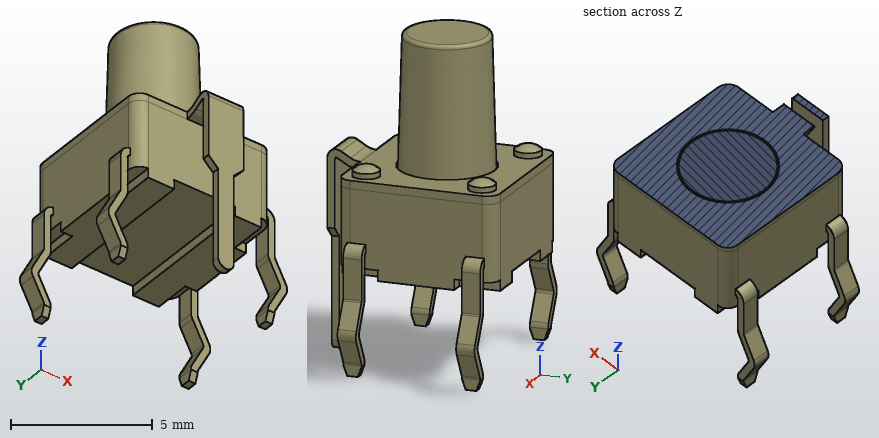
import cadquery as cq
import math


case_width = 6.0
case_height = 3.6
corner_radius = 0.5
cover_thickness = 0.3
button_hole_diameter = 3.6

underside_depth = 0.4
channel_width = 2.7
corner_notch_width = corner_radius
foot_width = 2.9

rivet_pitch = 4.4
rivet_diameter = 1.0
rivet_rim_height = 0.2
rivet_height = 0.4

button_top = 8.5
button_top_radius = 1.6
button_cover_radius = 1.74
button_edge_radius = 0.15

sheet_thickness = 0.3
root_length = 0.4

terminal_width = 0.7
terminal_pitch = 4.5
terminal_tip_width = 0.4
terminal_taper_length = 0.4
terminal_bottom = -3.5
terminal_root_top = 1.3
terminal_bend_radius = 0.15
terminal_outer_x = 3.4
terminal_kink_x = 3.95
terminal_kink_z = -1.855
terminal_kink_angle = math.radians(27.5)

ground_wide_width = 1.55
ground_narrow_width = 0.7
ground_outer_y = -4.25
ground_bottom = -3.6
ground_shoulder_top = 1.02
ground_shoulder_bottom = 0.6
ground_crest_radius = 0.35
ground_rise_angle = math.radians(30)


def strip_path(points, bend_radius):
    """Straight runs through the (across, z) points, with each inner corner rounded by a tangent arc."""
    path = cq.Workplane("XZ").moveTo(*points[0])
    for before, corner, after in zip(points, points[1:], points[2:]):
        inward = (cq.Vector(*before) - cq.Vector(*corner)).normalized()
        onward = (cq.Vector(*after) - cq.Vector(*corner)).normalized()
        half_angle = inward.getAngle(onward) / 2
        tangent_length = bend_radius / math.tan(half_angle)
        corner_gap = bend_radius / math.sin(half_angle) - bend_radius
        arc_start = cq.Vector(*corner) + inward * tangent_length
        arc_middle = cq.Vector(*corner) + (inward + onward).normalized() * corner_gap
        arc_end = cq.Vector(*corner) + onward * tangent_length
        path = path.lineTo(arc_start.x, arc_start.y)
        path = path.threePointArc((arc_middle.x, arc_middle.y), (arc_end.x, arc_end.y))
    return path.lineTo(*points[-1])


def make_housing():
    housing = (
        cq.Workplane("XY")
        .rect(case_width, case_width)
        .extrude(case_height - cover_thickness)
        .edges("|Z")
        .fillet(corner_radius)
    )
    channel = cq.Workplane("XY").rect(channel_width, case_width).extrude(underside_depth)
    housing = housing.cut(channel)

    notch_length = (case_width - foot_width) / 2
    notch_x = (case_width - corner_notch_width) / 2
    notch_y = (case_width - notch_length) / 2
    notches = (
        cq.Workplane("XY")
        .rect(2 * notch_x, 2 * notch_y, forConstruction=True)
        .vertices()
        .rect(corner_notch_width, notch_length)
        .extrude(underside_depth)
    )
    return housing.cut(notches)


def make_cover():
    return (
        cq.Workplane("XY", origin=(0, 0, case_height - cover_thickness))
        .rect(case_width, case_width)
        .extrude(cover_thickness)
        .edges("|Z")
        .fillet(corner_radius)
        .faces(">Z")
        .workplane()
        .hole(button_hole_diameter, cover_thickness)
    )


def make_rivet(x, y):
    rivet_radius = rivet_diameter / 2
    dome_height = rivet_height - rivet_rim_height
    dome_radius = (rivet_radius**2 + dome_height**2) / (2 * dome_height)
    middle_radius = rivet_radius / 2
    middle_height = rivet_height - dome_radius + math.sqrt(dome_radius**2 - middle_radius**2)
    return (
        cq.Workplane("XZ")
        .lineTo(rivet_radius, 0)
        .lineTo(rivet_radius, rivet_rim_height)
        .threePointArc((middle_radius, middle_height), (0, rivet_height))
        .close()
        .revolve(360, (0, 0), (0, 1))
        .translate((x, y, case_height))
    )


def make_terminal(y):
    """Terminal on the +X side: out of the case, down, and out and back in at the kink."""
    half_sheet = sheet_thickness / 2
    middle_bend_radius = terminal_bend_radius + half_sheet
    outer_bend_radius = terminal_bend_radius + sheet_thickness
    leg_x = terminal_outer_x - half_sheet
    root_z = terminal_root_top - half_sheet

    kink_x = terminal_kink_x - outer_bend_radius + middle_bend_radius / math.cos(terminal_kink_angle)
    kink_half_height = (kink_x - leg_x) / math.tan(terminal_kink_angle)
    root_x = case_width / 2 - root_length
    path = strip_path(
        [
            (root_x, root_z),
            (leg_x, root_z),
            (leg_x, terminal_kink_z + kink_half_height),
            (kink_x, terminal_kink_z),
            (leg_x, terminal_kink_z - kink_half_height),
            (leg_x, terminal_bottom),
        ],
        middle_bend_radius,
    )
    strip = (
        cq.Workplane("YZ", origin=(root_x, 0, root_z))
        .rect(terminal_width, sheet_thickness)
        .sweep(path)
    )
    taper_outline = (
        cq.Workplane("YZ")
        .moveTo(terminal_tip_width / 2, terminal_bottom)
        .lineTo(terminal_width / 2, terminal_bottom + terminal_taper_length)
        .lineTo(terminal_width / 2, terminal_root_top)
        .lineTo(-terminal_width / 2, terminal_root_top)
        .lineTo(-terminal_width / 2, terminal_bottom + terminal_taper_length)
        .lineTo(-terminal_tip_width / 2, terminal_bottom)
        .close()
        .extrude(terminal_kink_x)
    )
    return strip.intersect(taper_outline).translate((0, y, 0))


def make_ground_leg():
    """Leg that rises from the cover edge in an S, bends over a crest and runs straight down."""
    edge_y = -case_width / 2
    crest_y = ground_outer_y + ground_crest_radius
    crest_z = case_height
    sin_rise = math.sin(ground_rise_angle)

    foot_radius = ((edge_y - crest_y) * sin_rise - ground_crest_radius) / (1 - math.cos(ground_rise_angle))
    foot_z = case_height + foot_radius
    half_rise = ground_rise_angle / 2

    def on_foot(angle, depth):
        radius = foot_radius + depth
        return (edge_y - radius * math.sin(angle), foot_z - radius * math.cos(angle))

    def on_crest(angle, depth):
        radius = ground_crest_radius - depth
        return (crest_y + radius * math.cos(angle), crest_z + radius * math.sin(angle))

    rise_end = math.pi / 2 - ground_rise_angle
    crest_middle = (rise_end + math.pi) / 2
    depth = sheet_thickness
    inner_y = ground_outer_y + sheet_thickness
    strip = (
        cq.Workplane("YZ")
        .moveTo(*on_foot(0, 0))
        .threePointArc(on_foot(half_rise, 0), on_foot(ground_rise_angle, 0))
        .lineTo(*on_crest(rise_end, 0))
        .threePointArc(on_crest(crest_middle, 0), on_crest(math.pi, 0))
        .lineTo(ground_outer_y, ground_bottom)
        .lineTo(inner_y, ground_bottom)
        .lineTo(*on_crest(math.pi, depth))
        .threePointArc(on_crest(crest_middle, depth), on_crest(rise_end, depth))
        .lineTo(*on_foot(ground_rise_angle, depth))
        .threePointArc(on_foot(half_rise, depth), on_foot(0, depth))
        .close()
        .extrude(ground_wide_width / 2, both=True)
    )

    half_wide = ground_wide_width / 2
    half_narrow = ground_narrow_width / 2
    tip_start = ground_bottom + half_narrow
    crest_top = crest_z + ground_crest_radius
    front_outline = (
        cq.Workplane("XZ")
        .moveTo(-half_wide, crest_top)
        .lineTo(-half_wide, ground_shoulder_top)
        .lineTo(-half_narrow, ground_shoulder_bottom)
        .lineTo(-half_narrow, tip_start)
        .threePointArc((0, ground_bottom), (half_narrow, tip_start))
        .lineTo(half_narrow, ground_shoulder_bottom)
        .lineTo(half_wide, ground_shoulder_top)
        .lineTo(half_wide, crest_top)
        .close()
        .extrude(-ground_outer_y)
    )
    return strip.intersect(front_outline)


def make_case():
    case = make_housing().union(make_cover(), clean=False)
    case = case.union(make_ground_leg(), clean=False)
    for x_side in (-1, 1):
        for y_side in (-1, 1):
            rivet = make_rivet(x_side * rivet_pitch / 2, y_side * rivet_pitch / 2)
            case = case.union(rivet, clean=False)
    for y_side in (-1, 1):
        terminal = make_terminal(y_side * terminal_pitch / 2)
        case = case.union(terminal, clean=False)
        case = case.union(terminal.mirror("YZ"), clean=False)
    return case.solids()


def make_button():
    """Tapered button standing on the housing, in the clearance hole of the cover."""
    base_z = case_height - cover_thickness
    taper = (button_cover_radius - button_top_radius) / (button_top - case_height)
    base_radius = button_cover_radius + taper * cover_thickness
    return (
        cq.Workplane("XZ")
        .moveTo(0, base_z)
        .lineTo(base_radius, base_z)
        .lineTo(button_top_radius, button_top)
        .lineTo(0, button_top)
        .close()
        .revolve(360, (0, 0), (0, 1))
        .faces(">Z")
        .edges()
        .fillet(button_edge_radius)
    )


case = make_case()
button = make_button()

result = cq.Compound.makeCompound([case.val(), button.val()])